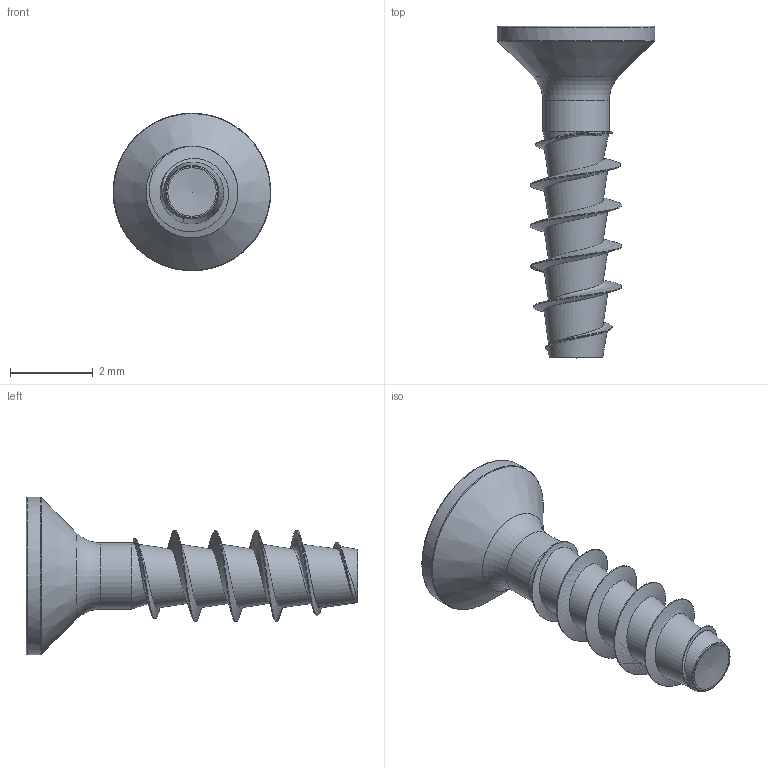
import cadquery as cq
import math


head_radius = 1.9
head_rim_height = 0.36
rim_edge_radius = 0.03
shank_radius = 0.80
shank_length = 2.54
neck_fillet_radius = 0.8
countersink_angle = math.radians(45)

total_length = 8.0
tip_radius = 0.645
tip_edge_radius = 0.02
tip_face_radius = tip_radius - tip_edge_radius
tip_hollow_radius = 0.585
tip_cone_depth = 0.05
core_end = total_length - tip_edge_radius

pitch = 0.98
crest_radius = 1.106
crest_half_width = 0.01
flank_angle = math.radians(15)
upper_root_radius = 0.655
lower_root_radius = 0.77

points_per_turn = 24
sewing_tolerance = 1e-4

thread_start_gap = 0.025
run_in_start_depth = shank_length + thread_start_gap
run_in_start_crest = 0.88
run_in_crest = 0.905
run_in_depth = 2.61
run_in_turn = 0.25
run_in_exponent = 1.5
root_run_in_turns = 0.75
root_run_in_exponent = 3
start_cap_share = 0.08

full_thread_pitches = 4
run_out_depth = run_in_depth + full_thread_pitches * pitch
thread_end_gap = 0.025
run_out_end_depth = core_end - thread_end_gap
run_out_end_crest = 0.67
root_run_out_turns = 0.75
end_cap_share = 0.05
thread_turns = run_in_turn + (run_out_end_depth - run_in_depth) / pitch


def blend(start, end, progress):
    """Value between start and end, held at the ends."""
    return start + (end - start) * min(1, max(0, progress))


def revolve_around_axis(profile):
    """Solid turned from a closed half profile around Y."""
    return profile.close().revolve(360, (0, 0, 0), (0, 1, 0))


def head_and_shank():
    """Flat head with rounded rim edges, countersink, neck fillet and plain shank."""
    neck_radius = shank_radius + neck_fillet_radius * (1 - math.cos(countersink_angle))
    neck_start = head_rim_height + (head_radius - neck_radius) / math.tan(countersink_angle)
    neck_end = neck_start + neck_fillet_radius * math.sin(countersink_angle)
    half_angle = countersink_angle / 2
    neck_middle = (
        shank_radius + neck_fillet_radius * (1 - math.cos(half_angle)),
        -(neck_end - neck_fillet_radius * math.sin(half_angle)),
    )
    profile = (
        cq.Workplane("ZY")
        .lineTo(head_radius, 0)
        .lineTo(head_radius, -head_rim_height)
        .lineTo(neck_radius, -neck_start)
        .threePointArc(neck_middle, (shank_radius, -neck_end))
        .lineTo(shank_radius, -shank_length)
        .lineTo(0, -shank_length)
    )
    head = revolve_around_axis(profile)
    return head.edges(cq.selectors.RadiusNthSelector(-1)).fillet(rim_edge_radius)


def tip():
    """Thin disc with a rounded edge that closes the core."""
    profile = (
        cq.Workplane("ZY")
        .moveTo(0, -core_end)
        .lineTo(tip_radius, -core_end)
        .radiusArc((tip_face_radius, -total_length), tip_edge_radius)
        .lineTo(0, -total_length)
    )
    return revolve_around_axis(profile)


def tip_hollow():
    """Shallow cone to cut into the tip face."""
    profile = (
        cq.Workplane("ZY")
        .moveTo(0, -total_length)
        .lineTo(tip_hollow_radius, -total_length)
        .lineTo(0, -(total_length - tip_cone_depth))
    )
    return revolve_around_axis(profile)


def thread_depth(turn):
    """Depth of the crest; turn 0 points to +X and turn 0.25 to +Z."""
    if turn < run_in_turn:
        return blend(run_in_start_depth, run_in_depth, turn / run_in_turn)
    return run_in_depth + pitch * (turn - run_in_turn)


def thread_crest(turn):
    """Crest radius: rises over the run-in, stays level, then falls to the tip."""
    if turn < run_in_turn:
        return blend(run_in_start_crest, run_in_crest, turn / run_in_turn)
    rise = 1 - (1 - min(1, turn - run_in_turn)) ** run_in_exponent
    depth = thread_depth(turn)
    fall = (depth - run_out_depth) / (run_out_end_depth - run_out_depth)
    return blend(blend(run_in_crest, crest_radius, rise), run_out_end_crest, fall)


def base_half_width(turn, root_radius):
    """Half width of the thread where it meets the core."""
    return crest_half_width + (thread_crest(turn) - root_radius) * math.tan(flank_angle)


def upper_root(turn):
    """Where the upper flank meets the core; it starts on the shank end."""
    if turn == thread_turns:
        return point_towards(lower_root(turn - 1), (tip_radius, core_end), 1 - end_cap_share)
    progress = (turn / root_run_in_turns) ** root_run_in_exponent
    radius = blend(shank_radius, upper_root_radius, progress)
    depth = thread_depth(turn) - base_half_width(turn, radius)
    return (radius, blend(shank_length, depth, turn / run_in_turn))


def lower_root(turn):
    """Where the lower flank meets the core; it ends on the tip circle."""
    if turn == 0:
        return point_towards((shank_radius, shank_length), upper_root(1), start_cap_share)
    left = thread_turns - turn
    radius = blend(tip_radius, lower_root_radius, left / root_run_out_turns)
    depth = thread_depth(turn) + base_half_width(turn, radius)
    return (radius, blend(core_end, depth, left / run_in_turn))


def upper_crest(turn):
    """Edge between the upper flank and the crest."""
    return (thread_crest(turn), thread_depth(turn) - crest_half_width)


def lower_crest(turn):
    """Edge between the crest and the lower flank."""
    return (thread_crest(turn), thread_depth(turn) + crest_half_width)


def shank_circle(turn):
    """Rim of the shank end, the same at every turn."""
    return (shank_radius, shank_length)


def tip_circle(turn):
    """Rim of the core end, the same at every turn."""
    return (tip_radius, core_end)


def point_towards(start, end, share):
    """Point at a share of the way from one (radius, depth) point to another."""
    return tuple(a + (b - a) * share for a, b in zip(start, end))


def place(turn, point):
    """Position of a (radius, depth) point in the half-plane of a turn."""
    radius, depth = point
    angle = 2 * math.pi * turn
    return cq.Vector(radius * math.cos(angle), -depth, radius * math.sin(angle))


def curve(path, first, last):
    """Spline along a path around the axis between two turns."""
    steps = math.ceil((last - first) * points_per_turn)
    turns = [first + (last - first) * i / steps for i in range(steps)] + [last]
    return cq.Edge.makeSpline([place(t, path(t)) for t in turns])


def strip(path_a, first_a, path_b, first_b, turns):
    """Ruled face between two paths, each followed for a number of turns."""
    return cq.Face.makeRuledSurface(
        curve(path_a, first_a, first_a + turns), curve(path_b, first_b, first_b + turns)
    )


def section_cap(turn):
    """Flat end of the thread in the half-plane of a turn."""
    corners = [place(turn, path(turn)) for path in (upper_root, upper_crest, lower_crest, lower_root)]
    return cq.Face.makeFromWires(cq.Wire.makePolygon(corners, close=True))


def threaded_faces():
    """Faces of the core and thread, open at the shank and at the tip."""
    return [
        strip(upper_root, 0, upper_crest, 0, thread_turns),
        strip(upper_crest, 0, lower_crest, 0, thread_turns),
        strip(lower_crest, 0, lower_root, 0, thread_turns),
        strip(shank_circle, 0, upper_root, 0, 1),
        strip(lower_root, 0, upper_root, 1, thread_turns - 1),
        strip(lower_root, thread_turns - 1, tip_circle, thread_turns - 1, 1),
        section_cap(0),
        section_cap(thread_turns),
    ]


head_faces = head_and_shank().faces("not <Y").vals()
tip_faces = tip().faces("not >Y").vals()
skin = cq.occ_impl.shapes.shell(*head_faces, *threaded_faces(), *tip_faces, tol=sewing_tolerance)
screw = cq.Workplane(cq.Solid.makeSolid(skin))
result = screw.cut(tip_hollow()).solids()